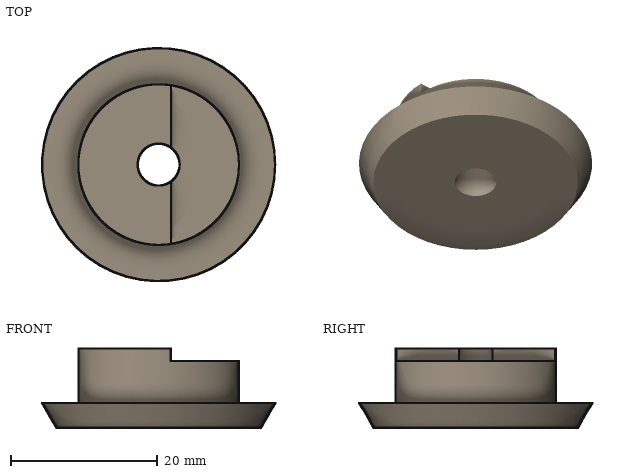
import cadquery as cq
import math

flange_diameter = 31.93
flange_height = 3.42
flange_slope_deg = 30.0
flange_base_diameter = flange_diameter - 2 * flange_height * math.tan(math.radians(flange_slope_deg))

total_height = 10.9
hub_diameter = 22.0
bore_diameter = 5.7
step_offset = 1.7
step_depth = 1.72


def make_body():
    """Revolve the half-section of the flange, hub and bore about Z."""
    bore_radius = bore_diameter / 2
    hub_radius = hub_diameter / 2
    return (
        cq.Workplane("XZ")
        .moveTo(bore_radius, 0)
        .lineTo(flange_base_diameter / 2, 0)
        .lineTo(flange_diameter / 2, flange_height)
        .lineTo(hub_radius, flange_height)
        .lineTo(hub_radius, total_height)
        .lineTo(bore_radius, total_height)
        .close()
        .revolve(360, (0, 0, 0), (0, 1, 0))
    )


def make_step_cutter():
    """Block that lowers the +X side of the hub's top face."""
    return (
        cq.Workplane("XY")
        .box(hub_diameter, hub_diameter, step_depth, centered=(False, True, False))
        .translate((step_offset, 0, total_height - step_depth))
    )


result = make_body().cut(make_step_cutter())